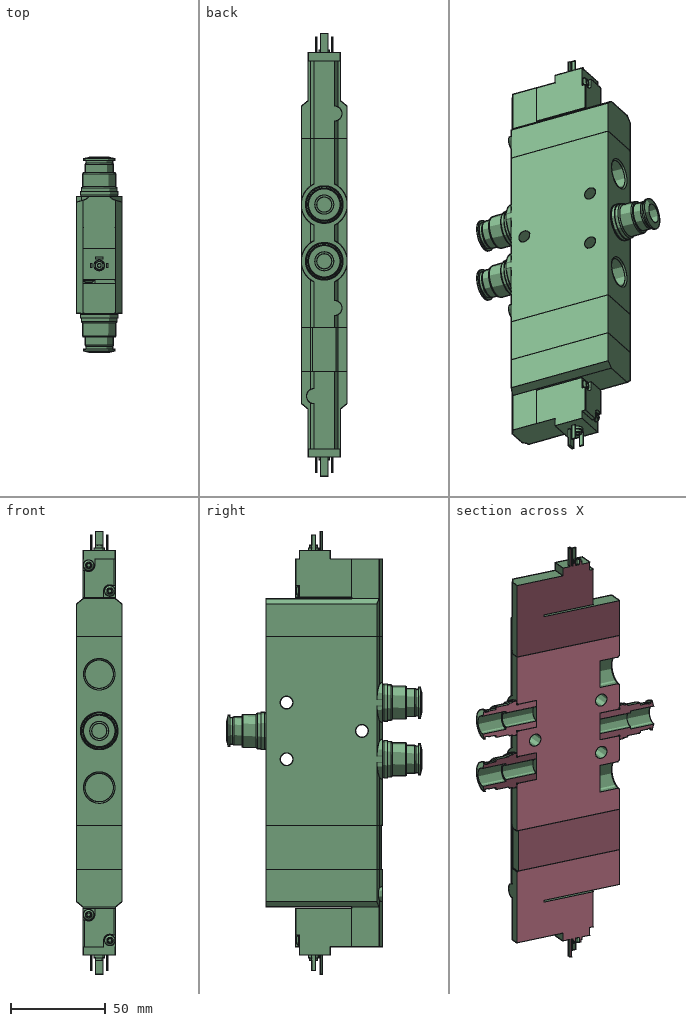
import cadquery as cq
VALVE_WIDTH = 24.0
OVERALL_DEPTH = 103.2
BODY_DEPTH = 61.8
HALF_DEPTH = BODY_DEPTH / 2
BACK_RIDGE_WIDTH = 10.8
RIDGE_FLANK_X = 1.9
RIDGE_FLANK_Y = 1.6
SIDE_DEPTH_Y = 27.8
MAIN_LENGTH = 100.0
SPACER_LENGTH = 23.2
CAP_LENGTH = 20.0
SPACER_BACK_RELIEF = 0.7
STACK_HALF_LENGTH = (MAIN_LENGTH + SPACER_LENGTH + 2 * CAP_LENGTH) / 2
MAIN_TOP = STACK_HALF_LENGTH - CAP_LENGTH
MAIN_BOTTOM = MAIN_TOP - MAIN_LENGTH
MAIN_MIDDLE = (MAIN_TOP + MAIN_BOTTOM) / 2
SPACER_BOTTOM = MAIN_BOTTOM - SPACER_LENGTH

PORT_DIAMETER = 15.0
PORT_MOUTH_DIAMETER = 16.5
PORT_DEPTH = 11.7
PORT_PITCH = 30.0
BOSS_DIAMETER = 24.3
BOSS_DEPTH = 4.2
FRONT_PORTS_Z = [MAIN_MIDDLE + step * PORT_PITCH for step in (-1, 0, 1)]
BACK_PORTS_Z = [MAIN_MIDDLE + step * PORT_PITCH for step in (-0.5, 0.5)]

MOUNT_HOLE_DIAMETER = 6.5
MOUNT_HOLE_Y = 20.0

BUTTON_DIAMETER = 8.0
BUTTON_X = -5.4
BUTTON_LENGTH = 4.7
MAIN_BUTTON_Z = -28.0
CAP_BUTTON_Z = 74.6

PILOT_WIDTH = 17.3
COIL_WIDTH = 17.0
CAP_END_CHAMFER_X = (VALVE_WIDTH - PILOT_WIDTH) / 2
CAP_END_CHAMFER_Z = 2.8
PILOT_TOP = 102.5
PILOT_SPLIT_Y = 14.5
COIL_GAP = 0.7
COIL_FRONT_Y = -15.2
COIL_BOTTOM = STACK_HALF_LENGTH + COIL_GAP
COVER_THICKNESS = 2.0
COVER_SEAT_Y = COIL_FRONT_Y + COVER_THICKNESS
COVER_BEVEL_X = 0.7
COVER_BEVEL_Y = 0.2
TOWER_BACK_Y = 3.3
TOWER_TOP = 107.0

SCREW_X = 5.5
SCREW_RISE = 6.8
COVER_MIDDLE_Z = (COIL_BOTTOM + PILOT_TOP) / 2
SCREW_POCKET_DIAMETER = 6.5
SCREW_HEAD_DIAMETER = 5.5
SCREW_HEAD_CHAMFER = 1.2
SCREW_HEAD_HEIGHT = 1.6
SCREW_SOCKET_DIAMETER = 2.0
SCREW_SOCKET_DEPTH = 1.0

TERMINAL_Y = -5.5
TERMINAL_X = 4.2
TERMINAL_THICKNESS = 0.7
TERMINAL_WIDTH = 2.0
TERMINAL_TOP = 115.1
EARTH_Y = -1.6
EARTH_WIDTH = 4.2
EARTH_THICKNESS = 1.2
EARTH_TOP = 117.0
COLLAR_DIAMETER = 5.5
COLLAR_TOP = 108.3
NIPPLE_DIAMETER = 4.2
NIPPLE_TOP = 109.7
NIPPLE_HOLE_DIAMETER = 2.01

BASE_DIAMETER = 19.5
BASE_HEIGHT = 0.7
SEAT_DIAMETER = 20.0
SEAT_HEIGHT = 2.5
SHOULDER_DIAMETER = 19.0
SHOULDER_HEIGHT = 4.5
BARREL_DIAMETER = 17.5
BARREL_START = 5.1
BARREL_HEIGHT = 12.6
BARREL_END_DIAMETER = 16.8
SLEEVE_DIAMETER = 15.0
SLEEVE_HEIGHT = 17.5
NECK_DIAMETER = 14.3
NECK_HEIGHT = 19.0
FLANGE_DIAMETER = 16.5
FLANGE_HEIGHT = 20.0
EDGE_BEVEL = 0.7
FITTING_HEIGHT = OVERALL_DEPTH / 2 - HALF_DEPTH
TUBE_DIAMETER = 10.0
TUBE_DEPTH = 14.0
FLOW_DIAMETER = 8.0


def box(x_range, y_range, z_range):
    """Box given by its limits along each axis."""
    (x0, x1), (y0, y1), (z0, z1) = x_range, y_range, z_range
    return cq.Workplane("XY").box(x1 - x0, y1 - y0, z1 - z0, centered=False).translate((x0, y0, z0))


def centred_box(width, y_range, z_range):
    """Box centred on x = 0."""
    return box((-width / 2, width / 2), y_range, z_range)


def cylinder_z(diameter, x, y, z_range):
    start, end = z_range
    return cq.Workplane("XY", origin=(x, y, start)).circle(diameter / 2).extrude(end - start)


def cylinder_y(diameter, x, z, y_range):
    start, end = y_range
    return cq.Workplane("XZ", origin=(x, start, z)).circle(diameter / 2).extrude(start - end)


def stack_block(bottom, top):
    """Length of the valve profile: flat front, ridged and sloping back."""
    half_width = VALVE_WIDTH / 2
    half_ridge = BACK_RIDGE_WIDTH / 2
    half_foot = half_ridge + RIDGE_FLANK_X
    right_side = [
        (half_width, -HALF_DEPTH),
        (half_width, SIDE_DEPTH_Y),
        (half_foot, HALF_DEPTH - RIDGE_FLANK_Y),
        (half_ridge, HALF_DEPTH),
    ]
    left_side = [(-x, y) for x, y in reversed(right_side)]
    outline = cq.Workplane("XY", origin=(0, 0, bottom)).polyline(right_side + left_side).close()
    return outline.extrude(top - bottom)


def button(z):
    return cylinder_y(BUTTON_DIAMETER, BUTTON_X, z, (HALF_DEPTH - BUTTON_LENGTH, HALF_DEPTH))


def port(z, side):
    """Countersunk blind port; side is -1 for the front face and 1 for the back."""
    bore = PORT_DIAMETER / 2
    mouth = PORT_MOUTH_DIAMETER / 2
    face = side * HALF_DEPTH
    countersink = side * (HALF_DEPTH - (mouth - bore))
    floor = side * (HALF_DEPTH - PORT_DEPTH)
    return (
        cq.Workplane("XY")
        .polyline([(0, face), (mouth, face), (bore, countersink), (bore, floor), (0, floor)])
        .close()
        .revolve(360, (0, 0), (0, 1))
        .translate((0, 0, z))
    )


def make_main_body():
    body = stack_block(MAIN_BOTTOM, MAIN_TOP)
    envelope = centred_box(VALVE_WIDTH, (-HALF_DEPTH, HALF_DEPTH), (MAIN_BOTTOM, MAIN_TOP))
    for z in BACK_PORTS_Z:
        boss = cylinder_y(BOSS_DIAMETER, 0, z, (HALF_DEPTH - BOSS_DEPTH, HALF_DEPTH))
        body = body.union(boss.intersect(envelope))
    body = body.union(button(MAIN_BUTTON_Z))
    for z in FRONT_PORTS_Z:
        body = body.cut(port(z, -1))
    for z in BACK_PORTS_Z:
        body = body.cut(port(z, 1))
    mount_holes = (
        cq.Workplane("YZ", origin=(-VALVE_WIDTH / 2, 0, 0))
        .pushPoints([(-MOUNT_HOLE_Y, z) for z in BACK_PORTS_Z] + [(MOUNT_HOLE_Y, MAIN_MIDDLE)])
        .circle(MOUNT_HOLE_DIAMETER / 2)
        .extrude(VALVE_WIDTH)
    )
    return body.cut(mount_holes)


def make_spacer():
    relief = centred_box(
        VALVE_WIDTH, (HALF_DEPTH - SPACER_BACK_RELIEF, HALF_DEPTH), (SPACER_BOTTOM, MAIN_BOTTOM)
    )
    return stack_block(SPACER_BOTTOM, MAIN_BOTTOM).cut(relief)


def cap_outline():
    """Front outline of the cap and its rear block, as a prism over the full depth."""
    half_width = VALVE_WIDTH / 2
    half_pilot = PILOT_WIDTH / 2
    chamfer_start = STACK_HALF_LENGTH - CAP_END_CHAMFER_Z
    right_side = [
        (half_width, MAIN_TOP),
        (half_width, chamfer_start),
        (half_pilot, STACK_HALF_LENGTH),
        (half_pilot, PILOT_TOP),
    ]
    left_side = [(-x, z) for x, z in reversed(right_side)]
    outline = cq.Workplane("XZ", origin=(0, HALF_DEPTH, 0)).polyline(right_side + left_side).close()
    return outline.extrude(2 * HALF_DEPTH)


def coil():
    """Pilot coil in front of the rear block, with the tower that carries the terminals."""
    shoulder = centred_box(COIL_WIDTH, (TOWER_BACK_Y, PILOT_SPLIT_Y), (COIL_BOTTOM, PILOT_TOP))
    tower = centred_box(COIL_WIDTH, (COVER_SEAT_Y, TOWER_BACK_Y), (COIL_BOTTOM, TOWER_TOP))
    return shoulder.union(tower).clean()


def cover():
    """Raised plate on the coil's front with two opposite corners open for the screws."""
    half_width = COIL_WIDTH / 2
    half_face = half_width - COVER_BEVEL_X
    bevel_y = COIL_FRONT_Y + COVER_BEVEL_Y
    plate = (
        cq.Workplane("XY", origin=(0, 0, COIL_BOTTOM))
        .polyline([
            (-half_width, COVER_SEAT_Y),
            (-half_width, bevel_y),
            (-half_face, COIL_FRONT_Y),
            (half_face, COIL_FRONT_Y),
            (half_width, bevel_y),
            (half_width, COVER_SEAT_Y),
        ])
        .close()
        .extrude(PILOT_TOP - COIL_BOTTOM)
    )
    depth = (COIL_FRONT_Y, COVER_SEAT_Y)
    radius = SCREW_POCKET_DIAMETER / 2
    opening = SCREW_HEAD_DIAMETER / 2
    for side in (-1, 1):
        x = side * SCREW_X
        z = COVER_MIDDLE_Z - side * SCREW_RISE
        reach = side * COIL_WIDTH
        plate = plate.cut(cylinder_y(SCREW_POCKET_DIAMETER, x, z, depth))
        plate = plate.cut(box(sorted((x, x + reach)), depth, (z - opening, z + opening)))
        plate = plate.cut(box(sorted((x - side * radius, x + reach)), depth, sorted((z, z - reach))))
    return plate


def screw_heads():
    heads = cq.Workplane("XY")
    top = COVER_SEAT_Y - SCREW_HEAD_HEIGHT
    for side in (-1, 1):
        x = side * SCREW_X
        z = COVER_MIDDLE_Z - side * SCREW_RISE
        head = cylinder_y(SCREW_HEAD_DIAMETER, x, z, (top, COVER_SEAT_Y))
        head = head.faces("<Y").chamfer(SCREW_HEAD_CHAMFER)
        socket = cylinder_y(SCREW_SOCKET_DIAMETER, x, z, (top, top + SCREW_SOCKET_DEPTH))
        heads = heads.add(head.cut(socket))
    return heads.combine()


def terminals():
    """Two flat terminals, the earth blade and the hollow nipple on the coil's tower."""
    earth = centred_box(
        EARTH_WIDTH,
        (EARTH_Y - EARTH_THICKNESS / 2, EARTH_Y + EARTH_THICKNESS / 2),
        (TOWER_TOP, EARTH_TOP),
    )
    blade = centred_box(
        TERMINAL_THICKNESS,
        (TERMINAL_Y - TERMINAL_WIDTH / 2, TERMINAL_Y + TERMINAL_WIDTH / 2),
        (TOWER_TOP, TERMINAL_TOP),
    )
    nipple = cylinder_z(COLLAR_DIAMETER, 0, TERMINAL_Y, (TOWER_TOP, COLLAR_TOP)).union(
        cylinder_z(NIPPLE_DIAMETER, 0, TERMINAL_Y, (TOWER_TOP, NIPPLE_TOP))
    )
    nipple = nipple.cut(cylinder_z(NIPPLE_HOLE_DIAMETER, 0, TERMINAL_Y, (TOWER_TOP, NIPPLE_TOP)))
    parts = nipple.union(earth)
    for side in (-1, 1):
        parts = parts.union(blade.translate((side * TERMINAL_X, 0, 0)))
    return parts


def make_end_cap():
    """Upper end cap with its pilot coil."""
    cap = stack_block(MAIN_TOP, PILOT_TOP).intersect(cap_outline())
    cap = cap.cut(
        centred_box(VALVE_WIDTH, (-HALF_DEPTH, PILOT_SPLIT_Y), (STACK_HALF_LENGTH, PILOT_TOP))
    )
    pilot = coil().union(cover()).clean().union(screw_heads()).union(terminals())
    cap = cap.union(pilot)
    return cap.union(button(CAP_BUTTON_Z))


def make_fitting(z, side):
    """Push-in fitting screwed into the port at height z; side as for port()."""
    steps = [
        (FLOW_DIAMETER, -PORT_DEPTH),
        (PORT_DIAMETER, -PORT_DEPTH),
        (PORT_DIAMETER, 0),
        (BASE_DIAMETER, 0),
        (BASE_DIAMETER, BASE_HEIGHT),
        (SEAT_DIAMETER, BASE_HEIGHT),
        (SEAT_DIAMETER, SEAT_HEIGHT),
        (SHOULDER_DIAMETER, SEAT_HEIGHT),
        (SHOULDER_DIAMETER, SHOULDER_HEIGHT),
        (BARREL_DIAMETER, BARREL_START),
        (BARREL_DIAMETER, BARREL_HEIGHT - EDGE_BEVEL),
        (BARREL_END_DIAMETER, BARREL_HEIGHT),
        (SLEEVE_DIAMETER, BARREL_HEIGHT),
        (SLEEVE_DIAMETER, SLEEVE_HEIGHT - EDGE_BEVEL),
        (NECK_DIAMETER, SLEEVE_HEIGHT),
        (NECK_DIAMETER, NECK_HEIGHT),
        (FLANGE_DIAMETER, NECK_HEIGHT),
        (FLANGE_DIAMETER, FLANGE_HEIGHT),
        (TUBE_DIAMETER, FITTING_HEIGHT),
        (TUBE_DIAMETER, FITTING_HEIGHT - TUBE_DEPTH),
        (FLOW_DIAMETER, FITTING_HEIGHT - TUBE_DEPTH),
    ]
    profile = [(diameter / 2, side * (HALF_DEPTH + height)) for diameter, height in steps]
    turned = cq.Workplane("XY").polyline(profile).close().revolve(360, (0, 0), (0, 1))
    return turned.translate((0, 0, z))


main_body = make_main_body()
spacer = make_spacer()
upper_cap = make_end_cap()
lower_cap = upper_cap.rotate((0, 0, 0), (0, 1, 0), 180)
fittings = [make_fitting(MAIN_MIDDLE, -1)] + [make_fitting(z, 1) for z in BACK_PORTS_Z]

result = cq.Compound.makeCompound([
    main_body.val(),
    spacer.val(),
    upper_cap.val(),
    lower_cap.val(),
    *[fitting.val() for fitting in fittings],
])